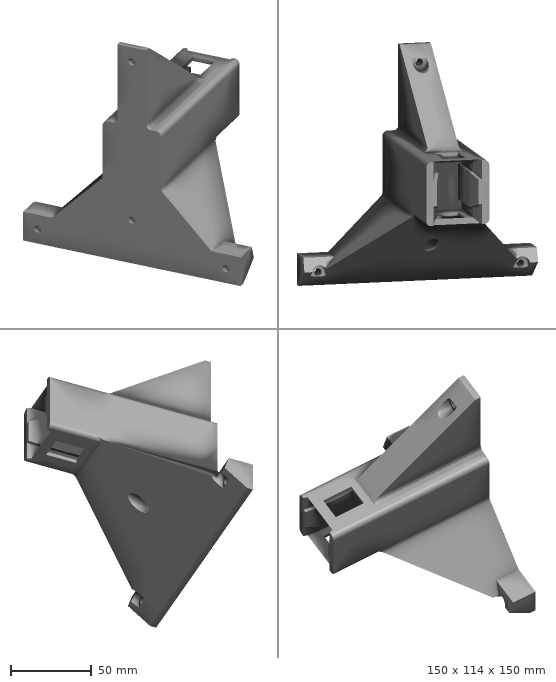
import cadquery as cq
import math

WIDTH = 150.0
HEIGHT = 150.0
HALF_WIDTH = WIDTH / 2
FOOT_SIZE = 20.0
RIB_HALF = FOOT_SIZE / 2
EDGE_THICKNESS = 4.0

BEAM_LENGTH = 114.0
BEAM_HALF = 20.2
BEAM_CENTER_Z = HEIGHT / 2
BEAM_TOP = BEAM_CENTER_Z + BEAM_HALF
BEAM_BOTTOM = BEAM_CENTER_Z - BEAM_HALF
BEAM_TOP_RADIUS = 3.5
BEAM_BOTTOM_RADIUS = 2.8
ROOT_RADIUS = 3.0

BUTTRESS_REACH = 78.8
SLOPE_RUN_PER_RISE = (BUTTRESS_REACH - EDGE_THICKNESS) / BEAM_BOTTOM

FOOT_TOP_DEPTH = 16.3
DRAFT_ANGLE = 18.5
DRAFT = math.tan(math.radians(DRAFT_ANGLE))

SCREW_DIAMETER = 4.8
HEAD_DIAMETER = 10.0
HEAD_SEAT_Y = 14.0
CENTER_SCREW_Z = 30.0
SCREW_INSET = FOOT_SIZE / 2
SCREW_POSITIONS = [
    (HALF_WIDTH - SCREW_INSET, SCREW_INSET),
    (SCREW_INSET - HALF_WIDTH, SCREW_INSET),
    (0, CENTER_SCREW_Z),
    (0, HEIGHT - SCREW_INSET),
]

SOCKET_DEPTH = 40.0
MOUTH_DEPTH = 10.0
SOCKET_HALF_HEIGHT = 17.7
SOCKET_HALF_WIDTH = 12.3
WAIST_HALF_WIDTH = 10.0
WAIST_HALF_HEIGHT = 11.1

WINDOW_WIDTH = 15.0
WINDOW_LENGTH = 20.0
WINDOW_FLARE = 0.5


def extrude_back(sketch, start, end):
    """Extrude an XZ outline from Y = start to Y = end."""
    return sketch.extrude(start - end).translate((0, start, 0))


def make_beam():
    """Full-length beam with rounded long edges."""
    outline = cq.Workplane("XZ").center(0, BEAM_CENTER_Z).rect(2 * BEAM_HALF, 2 * BEAM_HALF)
    beam = extrude_back(outline, 0, BEAM_LENGTH)
    beam = beam.edges("|Y and >Z").fillet(BEAM_TOP_RADIUS)
    return beam.edges("|Y and <Z").fillet(BEAM_BOTTOM_RADIUS)


def make_buttress():
    """Upper rib and lower 45 degree gusset with sloping back faces."""
    outline = (
        cq.Workplane("XZ")
        .moveTo(-HALF_WIDTH, 0)
        .lineTo(HALF_WIDTH, 0)
        .lineTo(BEAM_HALF, BEAM_BOTTOM)
        .lineTo(BEAM_HALF, BEAM_TOP)
        .lineTo(RIB_HALF, BEAM_TOP)
        .lineTo(RIB_HALF, HEIGHT)
        .lineTo(-RIB_HALF, HEIGHT)
        .lineTo(-RIB_HALF, BEAM_TOP)
        .lineTo(-BEAM_HALF, BEAM_TOP)
        .lineTo(-BEAM_HALF, BEAM_BOTTOM)
        .close()
    )
    body = extrude_back(outline, 0, BEAM_LENGTH)
    for x in (-BEAM_HALF, BEAM_HALF):
        body = body.edges(cq.selectors.NearestToPointSelector((x, BEAM_LENGTH / 2, BEAM_TOP)))
        body = body.fillet(BEAM_TOP_RADIUS)
    for x, z in ((RIB_HALF, BEAM_TOP), (BEAM_HALF, BEAM_BOTTOM)):
        for side in (-1, 1):
            corner = (side * x, BEAM_LENGTH / 2, z)
            body = body.edges(cq.selectors.NearestToPointSelector(corner)).fillet(ROOT_RADIUS)
    return body.intersect(make_slope_envelope())


def make_slope_envelope():
    """Triangular side outline whose slopes limit the rib, the gusset and the feet."""
    apex_y = EDGE_THICKNESS + SLOPE_RUN_PER_RISE * BEAM_CENTER_Z
    return (
        cq.Workplane("YZ")
        .moveTo(0, 0)
        .lineTo(EDGE_THICKNESS, 0)
        .lineTo(apex_y, BEAM_CENTER_Z)
        .lineTo(EDGE_THICKNESS, HEIGHT)
        .lineTo(0, HEIGHT)
        .close()
        .extrude(HALF_WIDTH, both=True)
    )


def make_feet():
    """Drafted foot blocks at both ends of the bottom edge."""
    bar = (
        cq.Workplane("YZ")
        .moveTo(0, 0)
        .lineTo(FOOT_TOP_DEPTH + DRAFT * FOOT_SIZE, 0)
        .lineTo(FOOT_TOP_DEPTH, FOOT_SIZE)
        .lineTo(0, FOOT_SIZE)
        .close()
        .extrude(HALF_WIDTH, both=True)
    )
    inner_half = HALF_WIDTH - FOOT_SIZE
    gap = cq.Workplane("XY").box(2 * inner_half, BEAM_LENGTH, HEIGHT)
    return bar.cut(gap).intersect(make_slope_envelope())


def make_screw_holes():
    """Through holes with head clearance running out of the back."""
    shafts = cq.Workplane("XZ").pushPoints(SCREW_POSITIONS).circle(SCREW_DIAMETER / 2)
    heads = cq.Workplane("XZ").pushPoints(SCREW_POSITIONS).circle(HEAD_DIAMETER / 2)
    head_end = EDGE_THICKNESS + SLOPE_RUN_PER_RISE * (CENTER_SCREW_Z + HEAD_DIAMETER)
    return extrude_back(shafts, 0, HEAD_SEAT_Y).union(extrude_back(heads, HEAD_SEAT_Y, head_end))


def socket_outline(y, offset):
    """H-shaped socket section at depth y, grown outward by offset."""
    top = SOCKET_HALF_HEIGHT + offset
    side = SOCKET_HALF_WIDTH + offset
    waist_side = WAIST_HALF_WIDTH + offset
    waist_top = WAIST_HALF_HEIGHT - offset
    return (
        cq.Workplane("XZ", origin=(0, y, BEAM_CENTER_Z))
        .polyline([
            (side, top),
            (side, waist_top),
            (waist_side, waist_top),
            (waist_side, -waist_top),
            (side, -waist_top),
            (side, -top),
            (-side, -top),
            (-side, -waist_top),
            (-waist_side, -waist_top),
            (-waist_side, waist_top),
            (-side, waist_top),
            (-side, top),
        ])
        .close()
    )


def make_socket():
    """Straight socket with a mouth that widens until it breaks through the roof and floor."""
    mouth_start = BEAM_LENGTH - MOUTH_DEPTH
    straight = socket_outline(BEAM_LENGTH - SOCKET_DEPTH, 0).extrude(-SOCKET_DEPTH)
    inner_wire = socket_outline(mouth_start, 0).wires().val()
    outer_wire = socket_outline(BEAM_LENGTH, DRAFT * MOUTH_DEPTH).wires().val()
    mouth = cq.Workplane(cq.Solid.makeLoft([inner_wire, outer_wire], True))
    return straight.union(mouth)


def make_window():
    """Window whose wall next to the mouth leans outward."""
    mouth_side = BEAM_LENGTH - MOUTH_DEPTH
    inner_side = mouth_side - WINDOW_LENGTH
    outer_side = mouth_side + WINDOW_FLARE
    return (
        cq.Workplane("YZ")
        .moveTo(inner_side, BEAM_BOTTOM)
        .lineTo(outer_side, BEAM_BOTTOM)
        .lineTo(mouth_side, BEAM_CENTER_Z - SOCKET_HALF_HEIGHT)
        .lineTo(mouth_side, BEAM_CENTER_Z + SOCKET_HALF_HEIGHT)
        .lineTo(outer_side, BEAM_TOP)
        .lineTo(inner_side, BEAM_TOP)
        .close()
        .extrude(WINDOW_WIDTH / 2, both=True)
    )


result = (
    make_beam()
    .union(make_buttress())
    .union(make_feet())
    .cut(make_screw_holes())
    .cut(make_socket())
    .cut(make_window())
)